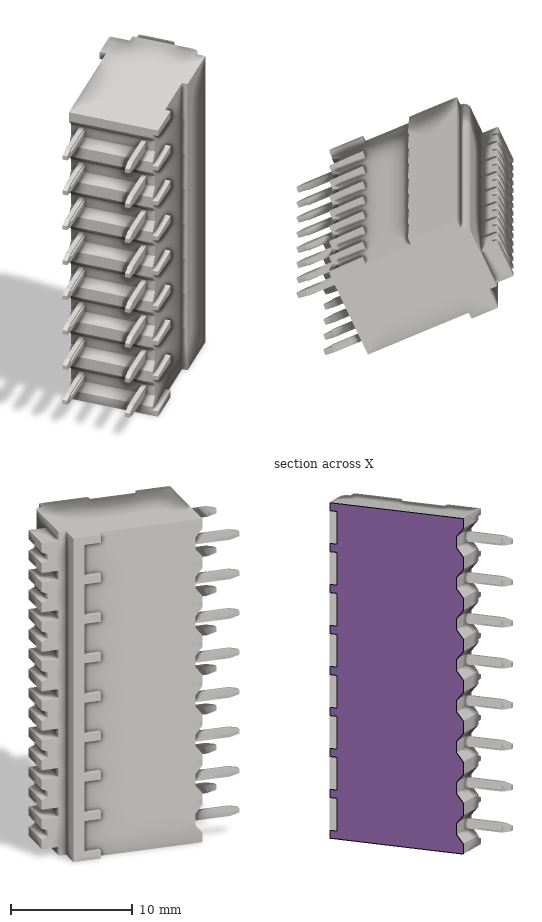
import cadquery as cq

pole_count = 8
pitch = 3.5
height = 28.7
end_margin = (height - (pole_count - 1) * pitch) / 2
pole_heights = [height - end_margin - pole * pitch for pole in range(pole_count)]
rib_heights = [pole_heights[0] + pitch / 2 - rib * pitch for rib in range(pole_count + 1)]

width = 8.4
lip_depth = 0.57
hook_depth = 0.5
body_left = lip_depth
body_right = width - hook_depth
shoulder_y = 11.5
back_y = 12.17
raised_left = 1.78
raised_right = 7.65
raised_corner_radius = 0.6
lip_front_y = 10.55
lip_rib_front_y = 9.1
lip_rib_height = 0.7
hook_front_y = 7.18
hook_face_rise = 0.1
foot_back_y = 3.05

foot_rib_front_height = 0.4
foot_rib_back_height = 0.7

groove_depth = 0.6
groove_mouth_height = 2.45
groove_floor_height = 1.0

lever_right = 4.9
lever_back_y = 13.65
lever_height = 2.65
lever_clearance = 0.05
notch_depth = 0.52
notch_mouth_height = 0.98
notch_floor_height = 0.55

pin_lefts = (1.3, 6.77)
pin_thickness = 0.4
pin_height = 0.8
pin_tip_height = 0.4
pin_length = 3.5
pin_taper_length = 0.8
pin_bead_height = 0.43
pin_bead_thickness = 0.11


def block(x_range, y_range, z_range):
    """Box spanning the given ranges."""
    size = [high - low for low, high in (x_range, y_range, z_range)]
    corner = (x_range[0], y_range[0], z_range[0])
    return cq.Workplane("XY").box(*size, centered=False).translate(corner)


def centred_range(middle, size):
    return (middle - size / 2, middle + size / 2)


def extrude_along_x(points, x_range):
    """Solid with the given (y, z) outline, spanning x_range."""
    outline = cq.Workplane("YZ", origin=(x_range[0], 0, 0)).polyline(points).close()
    return outline.extrude(x_range[1] - x_range[0])


def make_housing():
    main = block((body_left, body_right), (0, shoulder_y), (0, height))
    lip = block((0, body_left), (lip_front_y, shoulder_y), (0, height))
    hook = block((body_right, width), (hook_front_y, shoulder_y), (0, height))
    raised = block((raised_left, raised_right), (shoulder_y, back_y), (0, height))
    raised = raised.edges("|Z and >X and >Y").fillet(raised_corner_radius)
    return main.union(lip).union(hook).union(raised)


def make_lip_rib(middle):
    return block((0, body_left), (lip_rib_front_y, lip_front_y), centred_range(middle, lip_rib_height))


def make_foot_rib(middle):
    front_low, front_high = centred_range(middle, foot_rib_front_height)
    back_low, back_high = centred_range(middle, foot_rib_back_height)
    outline = [(0, front_low), (foot_back_y, back_low), (foot_back_y, back_high), (0, front_high)]
    return extrude_along_x(outline, (body_right, width))


def make_hook_wedge(middle):
    """Sliver that tilts the front of the hook slightly upwards between two foot ribs."""
    low, high = centred_range(middle, pitch - foot_rib_back_height)
    outline = [(hook_front_y, low), (hook_front_y - hook_face_rise, low), (hook_front_y, high)]
    return extrude_along_x(outline, (body_right, width))


def make_groove(middle):
    mouth_low, mouth_high = centred_range(middle, groove_mouth_height)
    floor_low, floor_high = centred_range(middle, groove_floor_height)
    outline = [(0, mouth_low), (groove_depth, floor_low), (groove_depth, floor_high), (0, mouth_high)]
    return extrude_along_x(outline, (body_left, body_right))


def make_lever_slot(middle):
    slot_height = lever_height + 2 * lever_clearance
    x_range = (raised_left, lever_right + lever_clearance)
    return block(x_range, (shoulder_y, back_y), centred_range(middle, slot_height))


def make_lever(middle):
    low, high = centred_range(middle, lever_height)
    mouth_low, mouth_high = centred_range(middle, notch_mouth_height)
    floor_low, floor_high = centred_range(middle, notch_floor_height)
    notch_floor_y = lever_back_y - notch_depth
    outline = [
        (shoulder_y, low),
        (lever_back_y, low),
        (lever_back_y, mouth_low),
        (notch_floor_y, floor_low),
        (notch_floor_y, floor_high),
        (lever_back_y, mouth_high),
        (lever_back_y, high),
        (shoulder_y, high),
    ]
    return extrude_along_x(outline, (raised_left, lever_right))


def make_pin(left, middle):
    """Flat pin with a tapered tip and a raised bead on the side facing the other pin of its pole."""
    right = left + pin_thickness
    low, high = centred_range(middle, pin_height)
    tip_low, tip_high = centred_range(middle, pin_tip_height)
    taper_y = pin_taper_length - pin_length
    outline = [
        (groove_depth, low),
        (taper_y, low),
        (-pin_length, tip_low),
        (-pin_length, tip_high),
        (taper_y, high),
        (groove_depth, high),
    ]
    if left < width / 2:
        bead_x_range = (right, right + pin_bead_thickness)
    else:
        bead_x_range = (left - pin_bead_thickness, left)
    bead = block(bead_x_range, (taper_y, groove_depth), centred_range(middle, pin_bead_height))
    return extrude_along_x(outline, (left, right)).union(bead)


result = make_housing()
for rib_z in rib_heights:
    result = result.union(make_lip_rib(rib_z)).union(make_foot_rib(rib_z))

for end_range in ((0, rib_heights[-1]), (rib_heights[0], height)):
    result = result.union(block((body_right, width), (0, foot_back_y), end_range))

for pole_z in pole_heights:
    result = result.cut(make_groove(pole_z)).cut(make_lever_slot(pole_z))
    result = result.union(make_hook_wedge(pole_z)).union(make_lever(pole_z))
    for pin_left in pin_lefts:
        result = result.union(make_pin(pin_left, pole_z))